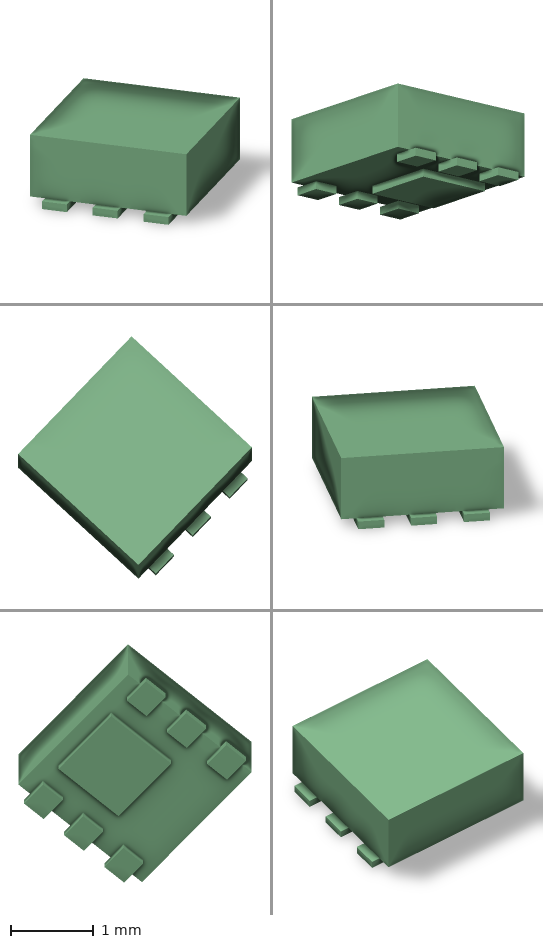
import cadquery as cq

overall_length = 2.22
body_side = 2.0
body_height = 0.8
lead_thickness = 0.1
lead_width = 0.32
lead_length = 0.346
lead_pitch = 0.65
pad_length = 0.96

lead_centre_y = (overall_length - lead_length) / 2
lead_columns = [-lead_pitch, 0, lead_pitch]
pad_width = lead_pitch + lead_width
pad_centre_x = -lead_pitch / 2


def make_block(width, length, height, x, y, bottom):
    """Rectangular block centred on (x, y), standing on the given level."""
    block = cq.Workplane("XY").box(width, length, height, centered=(True, True, False))
    return block.translate((x, y, bottom)).val()


def make_body():
    """Moulded body, resting on top of the leads and the pad."""
    return make_block(body_side, body_side, body_height, 0, 0, lead_thickness)


def make_lead(x, side):
    """One flat lead on the -Y (side = -1) or +Y (side = 1) edge."""
    return make_block(lead_width, lead_length, lead_thickness, x, side * lead_centre_y, 0)


def make_pad():
    """Exposed pad between the two lead rows."""
    return make_block(pad_width, pad_length, lead_thickness, pad_centre_x, 0, 0)


body = make_body()
leads = [make_lead(x, side) for side in (-1, 1) for x in lead_columns]
pad = make_pad()

result = cq.Compound.makeCompound([body, *leads, pad])